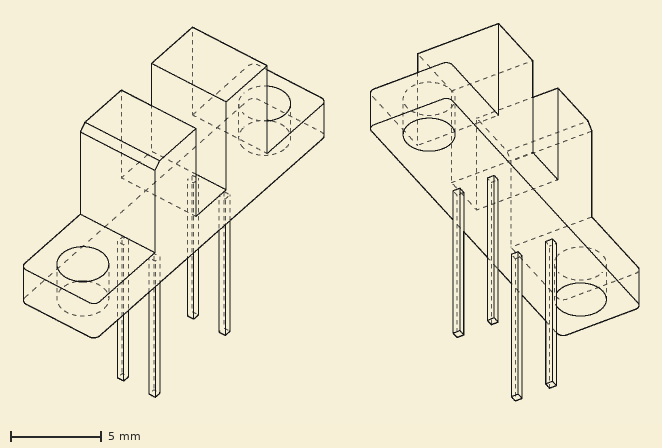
import cadquery as cq

length = 21.2
width = 5.22
flange_height = 2.59
corner_radius = 0.4

hole_diameter = 2.88
hole_spacing = 16.63

tower_height = 6.62
towers_span = 10.27
gap = 2.75
tower_depth = (towers_span - gap) / 2
tower_chamfer = 0.42

lead_size = 0.45
lead_length = 10.27
lead_spacing_x = 2.2
lead_spacing_y = 6.4


def make_flange():
    """Plate with rounded vertical corners and two through holes, underside at Z = 0."""
    plate = cq.Workplane("XY").box(width, length, flange_height, centered=(True, True, False))
    plate = plate.edges("|Z").fillet(corner_radius)
    return (
        plate.faces(">Z")
        .workplane()
        .pushPoints([(0, -hole_spacing / 2), (0, hole_spacing / 2)])
        .hole(hole_diameter)
    )


def make_tower(side):
    """Full-width block standing on the flange, on the given side (+1 or -1) of the gap."""
    center_y = side * (gap + tower_depth) / 2
    return (
        cq.Workplane("XY", origin=(0, center_y, flange_height))
        .box(width, tower_depth, tower_height, centered=(True, True, False))
    )


def make_leads():
    """Four leads hanging from the underside of the flange."""
    return (
        cq.Workplane("XY")
        .rarray(lead_spacing_x, lead_spacing_y, 2, 2)
        .rect(lead_size, lead_size)
        .extrude(-lead_length)
    )


plain_tower = make_tower(1)
marked_tower = make_tower(-1).edges(">Z and <Y").chamfer(tower_chamfer)

result = make_flange().union(plain_tower).union(marked_tower).union(make_leads())